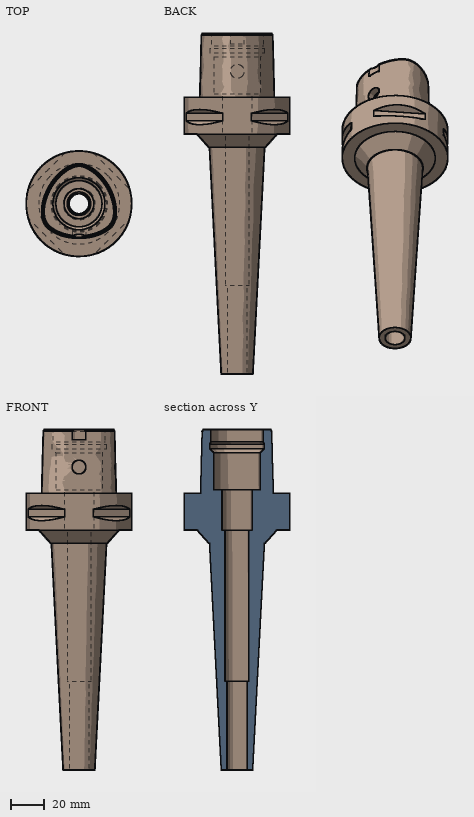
import cadquery as cq
import math

SHANK_HEIGHT = 38.0
FLANGE_HEIGHT = 22.0
COLLAR_HEIGHT = 8.0
TOTAL_LENGTH = 203.0
TOP_Z = SHANK_HEIGHT
FLANGE_BOTTOM_Z = -FLANGE_HEIGHT
COLLAR_BOTTOM_Z = FLANGE_BOTTOM_Z - COLLAR_HEIGHT
TIP_Z = TOP_Z - TOTAL_LENGTH

SHANK_BASE_RADIUS = 22.3
SHANK_TAPER = 1 / 40
SHANK_LOBE = 1.6
SHANK_CHAMFER_HEIGHT = 1.3
SHANK_CHAMFER_WIDTH = 0.7
OUTLINE_POINTS = 36

FLANGE_RADIUS = 31.5
COLLAR_TOP_RADIUS = 24.0
COLLAR_BOTTOM_RADIUS = 16.8
NECK_TOP_RADIUS = 16.5
TIP_RADIUS = 9.5

SLOT_COUNT = 4
SLOT_FLOOR_DISTANCE = 27.5
SLOT_FLOOR_HEIGHT = 4.4
SLOT_CENTER_Z = -11.9
SLOT_FLANK_ANGLE = 30.0

MOUTH_RADIUS = 15.5
MOUTH_DEPTH = 7.5
GROOVE_RADIUS = 16.2
GROOVE_TOP_DEPTH = 9.0
BORE_RADIUS = 13.75
BORE_TOP_DEPTH = 14.0
GROOVE_BOTTOM_DEPTH = BORE_TOP_DEPTH - (GROOVE_RADIUS - BORE_RADIUS)
BORE_DEPTH = 36.0
INNER_RADIUS = 8.9
INNER_DEPTH = 60.0
STEP_RADIUS = 7.0
STEP_DEPTH = 150.0
THROUGH_RADIUS = 5.9

NOTCH_DEPTH = 6.2
NOTCH_RADIUS = 6.0
NOTCH_INNER_Y = -18.1
SIDE_HOLE_RADIUS = 4.1
SIDE_HOLE_Z = 15.5
SIDE_HOLE_FLOOR_Y = -15.5


def shank_outline(mean_radius, z):
    """Closed constant-width curve with three lobes, one of them towards +Y."""
    points = []
    for i in range(OUTLINE_POINTS):
        a = 2 * math.pi * i / OUTLINE_POINTS
        along = mean_radius * math.cos(a) + SHANK_LOBE * (2 * math.cos(2 * a) - math.cos(4 * a))
        across = mean_radius * math.sin(a) - SHANK_LOBE * (2 * math.sin(2 * a) + math.sin(4 * a))
        points.append(cq.Vector(across, along, z))
    return cq.Wire.assembleEdges([cq.Edge.makeSpline(points, periodic=True)])


def make_shank():
    """Tapered shank with a chamfered top edge."""
    chamfer_z = TOP_Z - SHANK_CHAMFER_HEIGHT
    chamfer_radius = SHANK_BASE_RADIUS - SHANK_TAPER * chamfer_z
    base = shank_outline(SHANK_BASE_RADIUS, 0)
    shoulder = shank_outline(chamfer_radius, chamfer_z)
    top = shank_outline(chamfer_radius - SHANK_CHAMFER_WIDTH, TOP_Z)
    taper = cq.Solid.makeLoft([base, shoulder], True)
    chamfer = cq.Solid.makeLoft([shoulder, top], True)
    return cq.Workplane(taper).union(cq.Workplane(chamfer))


def make_body():
    """Flange, conical collar and slim tapered neck."""
    profile = [
        (0, 0),
        (FLANGE_RADIUS, 0),
        (FLANGE_RADIUS, FLANGE_BOTTOM_Z),
        (COLLAR_TOP_RADIUS, FLANGE_BOTTOM_Z),
        (COLLAR_BOTTOM_RADIUS, COLLAR_BOTTOM_Z),
        (NECK_TOP_RADIUS, COLLAR_BOTTOM_Z),
        (TIP_RADIUS, TIP_Z),
        (0, TIP_Z),
    ]
    return cq.Workplane("XZ").polyline(profile).close().revolve(360, (0, 0, 0), (0, 1, 0))


def make_bore():
    """Stepped bore with an internal groove, running right through to the tip."""
    profile = [
        (0, TOP_Z),
        (MOUTH_RADIUS, TOP_Z),
        (MOUTH_RADIUS, TOP_Z - MOUTH_DEPTH),
        (GROOVE_RADIUS, TOP_Z - GROOVE_TOP_DEPTH),
        (GROOVE_RADIUS, TOP_Z - GROOVE_BOTTOM_DEPTH),
        (BORE_RADIUS, TOP_Z - BORE_TOP_DEPTH),
        (BORE_RADIUS, TOP_Z - BORE_DEPTH),
        (INNER_RADIUS, TOP_Z - BORE_DEPTH),
        (INNER_RADIUS, TOP_Z - INNER_DEPTH),
        (STEP_RADIUS, TOP_Z - INNER_DEPTH),
        (STEP_RADIUS, TOP_Z - STEP_DEPTH),
        (THROUGH_RADIUS, TOP_Z - STEP_DEPTH),
        (THROUGH_RADIUS, TIP_Z),
        (0, TIP_Z),
    ]
    return cq.Workplane("XZ").polyline(profile).close().revolve(360, (0, 0, 0), (0, 1, 0))


def make_slots():
    """Trapezoidal slots cut tangentially into the flange on the diagonals."""
    floor_half = SLOT_FLOOR_HEIGHT / 2
    slot_depth = FLANGE_RADIUS - SLOT_FLOOR_DISTANCE
    mouth_half = floor_half + slot_depth * math.tan(math.radians(SLOT_FLANK_ANGLE))
    section = [
        (SLOT_FLOOR_DISTANCE, SLOT_CENTER_Z - floor_half),
        (FLANGE_RADIUS, SLOT_CENTER_Z - mouth_half),
        (FLANGE_RADIUS, SLOT_CENTER_Z + mouth_half),
        (SLOT_FLOOR_DISTANCE, SLOT_CENTER_Z + floor_half),
    ]
    slot = cq.Workplane("XZ").polyline(section).close().extrude(FLANGE_RADIUS, both=True)
    spacing = 360 / SLOT_COUNT
    slots = cq.Workplane("XY")
    for i in range(SLOT_COUNT):
        slots = slots.add(slot.rotate((0, 0, 0), (0, 0, 1), spacing * (i + 0.5)))
    return slots.combine()


def make_notch():
    """Upright cylinder that scoops a shallow key notch out of the shank's top edge."""
    floor = cq.Workplane("XY", origin=(0, NOTCH_INNER_Y - NOTCH_RADIUS, TOP_Z - NOTCH_DEPTH))
    return floor.circle(NOTCH_RADIUS).extrude(NOTCH_DEPTH)


def make_side_hole():
    """Blind round hole facing -Y."""
    plane = cq.Workplane("XZ", origin=(0, SIDE_HOLE_FLOOR_Y, 0))
    return plane.center(0, SIDE_HOLE_Z).circle(SIDE_HOLE_RADIUS).extrude(FLANGE_RADIUS + SIDE_HOLE_FLOOR_Y)


body = make_body().union(make_shank()).cut(make_slots())
result = body.cut(make_bore()).cut(make_notch()).cut(make_side_hole())